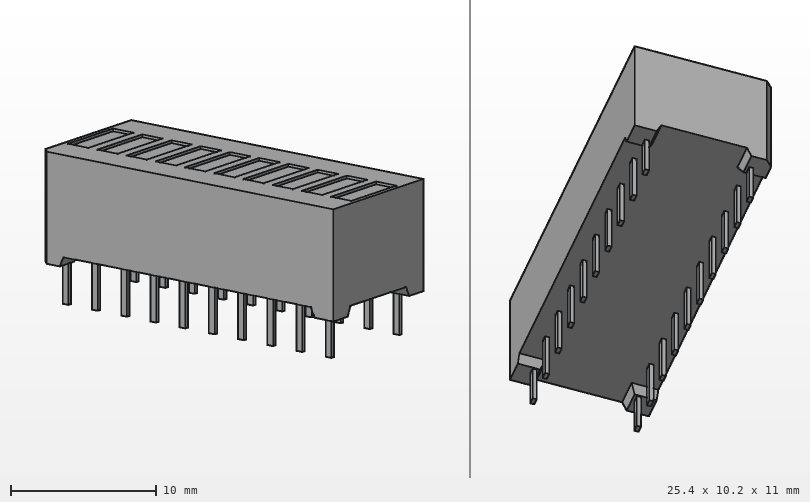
import cadquery as cq

body_length = 25.4
body_width = 10.15
body_height = 8.0
corner_bevel = 0.5

foot_height = 0.7
foot_length = 1.63
foot_slope = 0.33

pin_count = 10
pitch = body_length / pin_count
row_spacing = 7.62
pin_width = 0.5
pin_thickness = 0.3
pin_drop = 3.0

window_width = 1.78
window_length = 5.08
window_depth = 0.2


def body():
    block = cq.Workplane("XY").box(body_length, body_width, body_height, centered=(True, True, False))
    return block.edges("|Z and <X and <Y").chamfer(corner_bevel)


def channel(plane, span, run):
    """Trapezoidal cutter along the underside; span is the body size across it, run the size along it."""
    half_mouth = span / 2 - foot_length
    half_roof = half_mouth - foot_slope
    outline = [
        (-half_mouth, 0),
        (half_mouth, 0),
        (half_roof, foot_height),
        (-half_roof, foot_height),
    ]
    return cq.Workplane(plane).polyline(outline).close().extrude(run / 2, both=True)


def windows():
    return (
        cq.Workplane("XY", origin=(0, 0, body_height - window_depth))
        .rarray(pitch, 0.25, pin_count, 1)
        .rect(window_width, window_length)
        .extrude(window_depth)
    )


def pins():
    return (
        cq.Workplane("XY", origin=(0, 0, -pin_drop))
        .rarray(pitch, row_spacing, pin_count, 2)
        .rect(pin_width, pin_thickness)
        .extrude(pin_drop + foot_height)
    )


result = (
    body()
    .cut(channel("XZ", body_length, body_width))
    .cut(channel("YZ", body_width, body_length))
    .cut(windows())
    .union(pins())
)